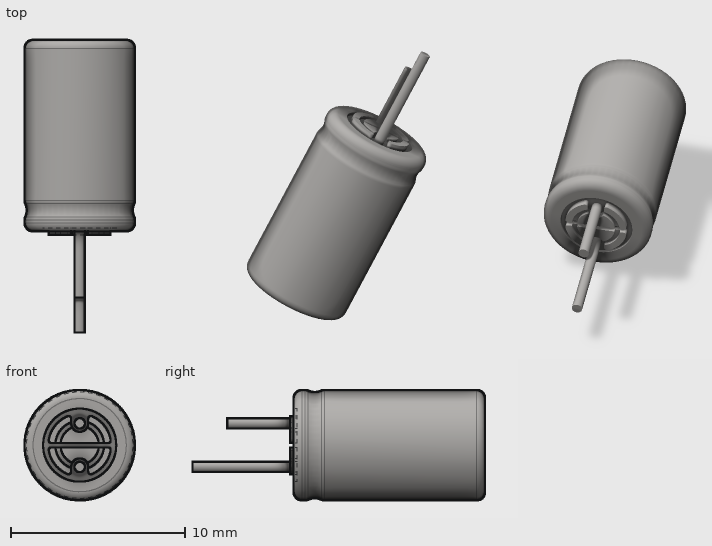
import cadquery as cq
import math


CAN_RADIUS = 6.35 / 2
CAN_LENGTH = 11.0
CAN_EDGE_RADIUS = 0.5

CRIMP_CENTER_Y = 1.22
CRIMP_DEPTH = 0.12
CRIMP_HALF_WIDTH = 0.56
CRIMP_HOLLOW_HALF_WIDTH = 0.38

SEAL_RADIUS = 2.1
SEAL_RECESS = 0.2

PAD_HEIGHT_ABOVE_CAN = 0.2
PAD_RADIUS = 1.8
PAD_GAP = 0.25
PAD_CORNER_RADIUS = 0.15
LEAD_CLEARANCE_RADIUS = 0.49
PAD_GROOVE_OUTER_RADIUS = 1.4
PAD_GROOVE_INNER_RADIUS = 1.1
PAD_GROOVE_DEPTH = 0.2

LEAD_RADIUS = 0.3
LEAD_PITCH = 2.5
LONG_LEAD_LENGTH = 5.8
SHORT_LEAD_LENGTH = 3.8

UPPER = 1
LOWER = -1


def front_plane(y):
    """XZ workplane at the given y; a positive extrusion runs toward -Y."""
    return cq.Workplane("XZ", origin=(0, y, 0))


def make_can():
    """Revolve the can profile, with its crimp groove and rounded ends, about Y."""
    slope_angle = 2 * math.atan(CRIMP_DEPTH / CRIMP_HALF_WIDTH)
    hollow_arc_radius = CRIMP_HOLLOW_HALF_WIDTH / math.sin(slope_angle)
    floor_radius = CAN_RADIUS - CRIMP_DEPTH
    meeting_radius = floor_radius + hollow_arc_radius * (1 - math.cos(slope_angle))

    crimp_start = (CAN_RADIUS, CRIMP_CENTER_Y - CRIMP_HALF_WIDTH)
    hollow_start = (meeting_radius, CRIMP_CENTER_Y - CRIMP_HOLLOW_HALF_WIDTH)
    hollow_middle = (floor_radius, CRIMP_CENTER_Y)
    hollow_end = (meeting_radius, CRIMP_CENTER_Y + CRIMP_HOLLOW_HALF_WIDTH)
    crimp_end = (CAN_RADIUS, CRIMP_CENTER_Y + CRIMP_HALF_WIDTH)

    flat_end_radius = CAN_RADIUS - CAN_EDGE_RADIUS
    profile = (
        cq.Workplane("XY")
        .lineTo(flat_end_radius, 0)
        .tangentArcPoint((CAN_RADIUS, CAN_EDGE_RADIUS), relative=False)
        .lineTo(*crimp_start)
        .tangentArcPoint(hollow_start, relative=False)
        .threePointArc(hollow_middle, hollow_end)
        .tangentArcPoint(crimp_end, relative=False)
        .lineTo(CAN_RADIUS, CAN_LENGTH - CAN_EDGE_RADIUS)
        .tangentArcPoint((flat_end_radius, CAN_LENGTH), relative=False)
        .lineTo(0, CAN_LENGTH)
        .close()
    )
    return profile.revolve(360, (0, 0, 0), (0, 1, 0))


def make_seal_recess():
    """Shallow round pocket that leaves the seal face below the can end."""
    return front_plane(SEAL_RECESS).circle(SEAL_RADIUS).extrude(SEAL_RECESS)


def make_pad(side):
    """Half-round standoff above or below the middle gap, notched around its lead."""
    base = front_plane(SEAL_RECESS)
    height = SEAL_RECESS + PAD_HEIGHT_ABOVE_CAN
    lead_z = side * LEAD_PITCH / 2

    disc = base.circle(PAD_RADIUS).extrude(height)
    half_center_z = side * (PAD_GAP + PAD_RADIUS) / 2
    half = base.center(0, half_center_z).rect(2 * PAD_RADIUS, PAD_RADIUS).extrude(height)

    notch_round = base.center(0, lead_z).circle(LEAD_CLEARANCE_RADIUS).extrude(height)
    mouth_center_z = lead_z + side * PAD_RADIUS / 2
    notch_mouth = base.center(0, mouth_center_z).rect(2 * LEAD_CLEARANCE_RADIUS, PAD_RADIUS).extrude(height)
    pad = disc.intersect(half).cut(notch_round).cut(notch_mouth)

    corner_edges = [
        edge
        for edge in pad.edges("|Y").vals()
        if math.hypot(edge.Center().x, edge.Center().z) > PAD_GROOVE_OUTER_RADIUS
    ]
    return pad.newObject(corner_edges).fillet(PAD_CORNER_RADIUS)


def make_pad_groove():
    """Ring-shaped groove sunk into the tops of both pads."""
    groove_floor = front_plane(PAD_GROOVE_DEPTH - PAD_HEIGHT_ABOVE_CAN)
    ring = groove_floor.circle(PAD_GROOVE_OUTER_RADIUS).circle(PAD_GROOVE_INNER_RADIUS)
    return ring.extrude(PAD_GROOVE_DEPTH)


def make_lead(side, length):
    """Round wire lead standing on the seal face and reaching the given length past the can end."""
    lead = front_plane(SEAL_RECESS).center(0, side * LEAD_PITCH / 2).circle(LEAD_RADIUS)
    return lead.extrude(SEAL_RECESS + length)


result = make_can().cut(make_seal_recess())
for pad_side in (UPPER, LOWER):
    result = result.union(make_pad(pad_side).cut(make_pad_groove()))
result = result.union(make_lead(UPPER, SHORT_LEAD_LENGTH))
result = result.union(make_lead(LOWER, LONG_LEAD_LENGTH))